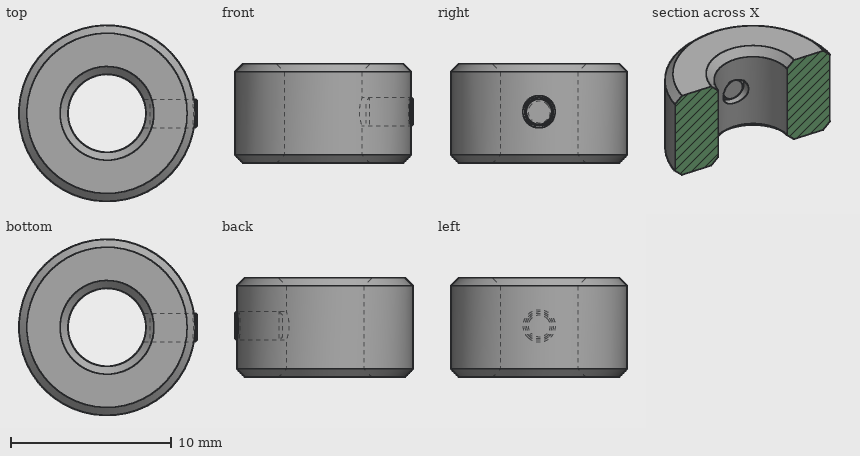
import cadquery as cq

collar_diameter = 11.0
collar_height = 6.2
bore_diameter = 4.85
edge_chamfer = 0.5

screw_diameter = 1.78
screw_height = 3.2
screw_length = 2.95
screw_protrusion = 0.117
screw_outer_chamfer = 0.1
screw_inner_chamfer = 0.21
screw_hole_mouth_chamfer = 0.12

collar_radius = collar_diameter / 2
screw_outer_end = collar_radius + screw_protrusion
screw_inner_end = screw_outer_end - screw_length

mouth_box_corners = (
    (bore_diameter / 2 + edge_chamfer, -screw_diameter, screw_height - screw_diameter),
    (screw_outer_end, screw_diameter, screw_height + screw_diameter),
)


def radial_cylinder(diameter, start, end):
    """Cylinder along X, centred on the screw axis, from x = start to x = end."""
    return (
        cq.Workplane("YZ", origin=(start, 0, screw_height))
        .circle(diameter / 2)
        .extrude(end - start)
    )


def make_collar():
    """Chamfered ring with a radial hole through its +X wall."""
    ring = (
        cq.Workplane("XY")
        .circle(collar_radius)
        .circle(bore_diameter / 2)
        .extrude(collar_height)
        .faces("<Z or >Z")
        .edges()
        .chamfer(edge_chamfer)
    )
    drilled = ring.cut(radial_cylinder(screw_diameter, 0, screw_outer_end))
    mouth_edge = cq.selectors.BoxSelector(*mouth_box_corners, boundingbox=True)
    return drilled.edges(mouth_edge).chamfer(screw_hole_mouth_chamfer)


def make_set_screw():
    """Plain set screw with chamfered ends, its outer end just proud of the collar."""
    screw = radial_cylinder(screw_diameter, screw_inner_end, screw_outer_end)
    screw = screw.faces("<X").edges().chamfer(screw_inner_chamfer)
    return screw.faces(">X").edges().chamfer(screw_outer_chamfer)


collar = make_collar()
set_screw = make_set_screw()

result = cq.Compound.makeCompound([collar.val(), set_screw.val()])